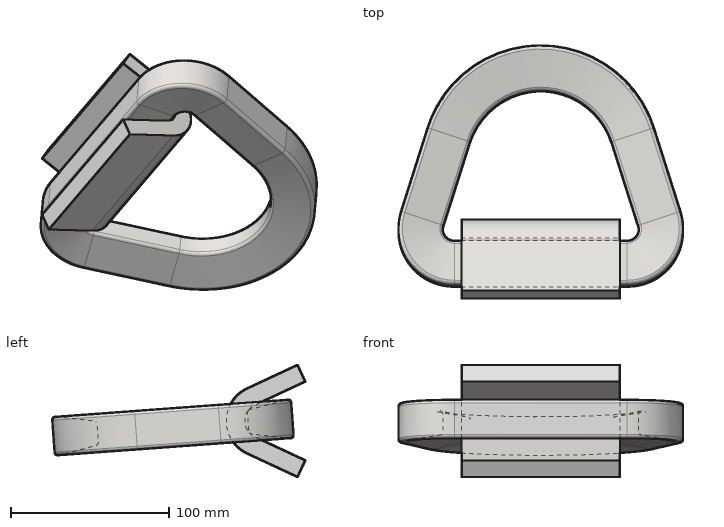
import cadquery as cq
import math

RING_WIDTH = 180.0
SECTION_WIDTH = 28.0
OUTER_HEIGHT = 25.4
SECTION_TAPER = 10.5
CROWN_RADIUS = 75.0
CORNER_RADIUS = 35.5
CENTRE_SPACING = 41.0
EDGE_ROUND = 2.2
RING_TILT = 4.2
CORNER_CENTRE_Y = 16.2

CLIP_LENGTH = 100.0
CLIP_HEIGHT = 71.0
PLATE_THICKNESS = 11.7
BEND_RADIUS = 22.7
LEG_ANGLE = 25.0


def ring_path(inset):
    """Closed D-shaped line set in by inset from the outer edge of the ring."""
    corner_x = RING_WIDTH / 2 - CORNER_RADIUS
    crown_y = CORNER_CENTRE_Y + CENTRE_SPACING
    crown_r = CROWN_RADIUS - inset
    corner_r = CORNER_RADIUS - inset

    centre_distance = math.hypot(corner_x, CENTRE_SPACING)
    lean = math.acos((CROWN_RADIUS - CORNER_RADIUS) / centre_distance) - math.atan2(CENTRE_SPACING, corner_x)
    mid_angle = (lean - math.pi / 2) / 2

    def corner_point(angle):
        return (corner_x + corner_r * math.cos(angle), CORNER_CENTRE_Y + corner_r * math.sin(angle))

    def mirrored(point):
        return (-point[0], point[1])

    corner_start = corner_point(-math.pi / 2)
    corner_mid = corner_point(mid_angle)
    corner_end = corner_point(lean)
    crown_start = (crown_r * math.cos(lean), crown_y + crown_r * math.sin(lean))

    return (
        cq.Workplane("XY")
        .moveTo(*corner_start)
        .threePointArc(corner_mid, corner_end)
        .lineTo(*crown_start)
        .threePointArc((0, crown_y + crown_r), mirrored(crown_start))
        .lineTo(*mirrored(corner_end))
        .threePointArc(mirrored(corner_mid), mirrored(corner_start))
        .close()
    )


def make_clip():
    """Plate bent round the X axis, with two straight legs spreading towards -Y."""
    angle = math.radians(LEG_ANGLE)
    inner_radius = BEND_RADIUS - PLATE_THICKNESS
    leg_length = (CLIP_HEIGHT / 2 - BEND_RADIUS * math.cos(angle)) / math.sin(angle)

    def bend_end(radius, side):
        return (radius * math.sin(angle), side * radius * math.cos(angle))

    def leg_tip(radius, side):
        y, z = bend_end(radius, side)
        return (y - leg_length * math.cos(angle), z + side * leg_length * math.sin(angle))

    return (
        cq.Workplane("YZ")
        .moveTo(*leg_tip(BEND_RADIUS, 1))
        .lineTo(*bend_end(BEND_RADIUS, 1))
        .threePointArc((BEND_RADIUS, 0), bend_end(BEND_RADIUS, -1))
        .lineTo(*leg_tip(BEND_RADIUS, -1))
        .lineTo(*leg_tip(inner_radius, -1))
        .lineTo(*bend_end(inner_radius, -1))
        .threePointArc((inner_radius, 0), bend_end(inner_radius, 1))
        .lineTo(*leg_tip(inner_radius, 1))
        .close()
        .extrude(CLIP_LENGTH / 2, both=True)
    )


def make_ring():
    """Tapered section swept round the D, edges rounded, then tilted about the X axis."""
    outer_y = CORNER_CENTRE_Y - CORNER_RADIUS
    inner_y = outer_y + SECTION_WIDTH
    inner_height = OUTER_HEIGHT - 2 * SECTION_WIDTH * math.tan(math.radians(SECTION_TAPER))
    section = (
        cq.Workplane("YZ", origin=(RING_WIDTH / 2 - CORNER_RADIUS, 0, 0))
        .moveTo(outer_y, -OUTER_HEIGHT / 2)
        .lineTo(outer_y, OUTER_HEIGHT / 2)
        .lineTo(inner_y, inner_height / 2)
        .lineTo(inner_y, -inner_height / 2)
        .close()
    )
    ring = section.sweep(ring_path(SECTION_WIDTH / 2))
    ring = ring.faces("not #Z").edges().fillet(EDGE_ROUND)
    return ring.rotate((0, 0, 0), (1, 0, 0), -RING_TILT)


clip = make_clip()
ring = make_ring()

result = cq.Compound.makeCompound([ring.val(), clip.val()])